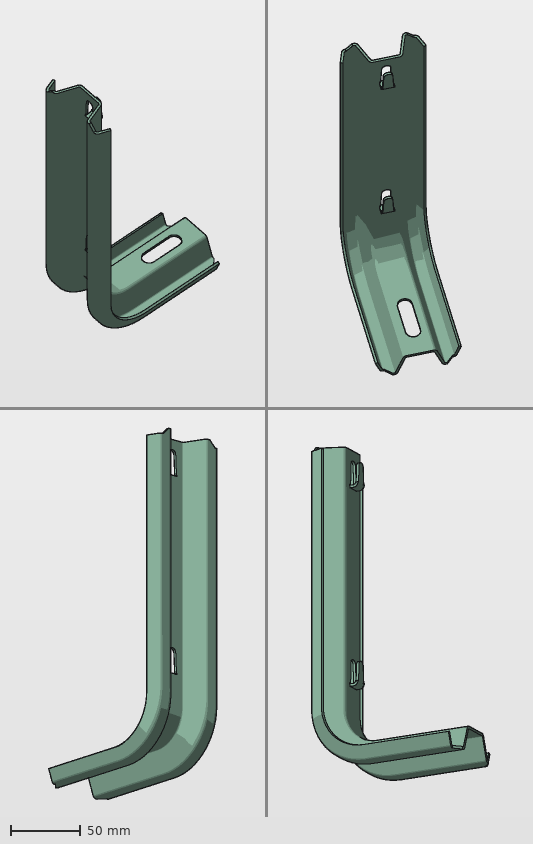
import cadquery as cq
import math

HEIGHT = 245.0
REACH = 120.0
WIDTH = 64.2
DEPTH = 20.0
THICKNESS = 2.0
CORNER_RADIUS = 45.0

WEB_HALF_FLAT = 9.8
FLANGE_FLAT = 6.4
BEND_ANGLE = math.radians(70)
BEND_INNER_RADIUS = 1.2
BEND_MID_RADIUS = BEND_INNER_RADIUS + THICKNESS / 2

TRIM_LENGTH = 5.1
TRIM_HALF_WIDTH = 20.3

SLOT_LENGTH = 35.0
SLOT_WIDTH = 11.0
SLOT_END_GAP = 15.2

HOOK_PITCH = 150.2
WINDOW_TOP_GAP = 7.5
WINDOW_HEIGHT = 19.4
WINDOW_TIP_RADIUS = 3.5
WINDOW_FOOT_WIDTH = 8.3
RELIEF_WIDTH = 9.8
RELIEF_HEIGHT = 0.7
HOOK_GAP = 4.5
HOOK_BEND_INNER_RADIUS = 1.7

HALF_WIDTH = WIDTH / 2
CLEARANCE = 2.5


def normal(heading):
    """Left-hand normal of a direction in the section plane."""
    return cq.Vector(-math.sin(heading), math.cos(heading))


def bends():
    """Centre, side, entry and exit heading of the bends, from the web out to the lip.

    Side is +1 for a bend away from the back of the web and -1 for a bend towards it.
    """
    radius = BEND_MID_RADIUS
    bend_run = radius * math.sin(BEND_ANGLE)
    bend_drop = radius * (1 - math.cos(BEND_ANGLE))
    leg_drop = DEPTH - THICKNESS - 2 * bend_drop
    leg_run = leg_drop / math.tan(BEND_ANGLE)
    flange_start = WEB_HALF_FLAT + 2 * bend_run + leg_run
    web_centre = cq.Vector(WEB_HALF_FLAT, DEPTH - THICKNESS / 2 - radius)
    flange_centre = cq.Vector(flange_start, THICKNESS / 2 + radius)
    lip_centre = flange_centre + cq.Vector(FLANGE_FLAT, 0)
    return [
        (web_centre, 1, 0, -BEND_ANGLE),
        (flange_centre, -1, -BEND_ANGLE, 0),
        (lip_centre, -1, 0, BEND_ANGLE),
    ]


def face_arcs(offset):
    """Start, middle and end of each bend on the sheet face at this offset behind mid-sheet."""
    arcs = []
    for centre, side, entry, leave in bends():
        reach = side * BEND_MID_RADIUS + offset
        headings = (entry, (entry + leave) / 2, leave)
        arcs.append([centre + normal(heading) * reach for heading in headings])
    return arcs


def half_section():
    """Outline of the half sheet at +X, with the front of the flange on Y = 0."""
    front = face_arcs(-THICKNESS / 2)
    back = face_arcs(THICKNESS / 2)
    lip_start = front[-1][-1]
    lip_length = (HALF_WIDTH - lip_start.x) / math.cos(BEND_ANGLE)
    lip_vector = cq.Vector(math.cos(BEND_ANGLE), math.sin(BEND_ANGLE)) * lip_length
    outline = cq.Workplane("XY", origin=(0, 0, HEIGHT)).moveTo(0, DEPTH - THICKNESS)
    for start, middle, end in front:
        outline = outline.lineTo(start.x, start.y).threePointArc((middle.x, middle.y), (end.x, end.y))
    lip_front = lip_start + lip_vector
    lip_back = lip_front + normal(BEND_ANGLE) * THICKNESS
    outline = outline.lineTo(lip_front.x, lip_front.y).lineTo(lip_back.x, lip_back.y)
    for start, middle, end in reversed(back):
        outline = outline.lineTo(end.x, end.y).threePointArc((middle.x, middle.y), (start.x, start.y))
    return outline.lineTo(0, DEPTH).close()


def bent_channel():
    """Sheet channel running down the upright, round the corner and out along the arm."""
    path = (
        cq.Workplane("YZ")
        .moveTo(0, HEIGHT)
        .lineTo(0, CORNER_RADIUS)
        .radiusArc((CORNER_RADIUS, 0), -CORNER_RADIUS)
        .lineTo(REACH, 0)
    )
    half = half_section().sweep(path)
    return half.union(half.mirror("YZ")).clean()


def end_trims(plane, end):
    """Cutters for both outer corners of a free end, drawn in a plane with X across it."""
    inner = TRIM_HALF_WIDTH
    outer = HALF_WIDTH + CLEARANCE
    right = (
        cq.Workplane(plane)
        .polyline([
            (inner, end),
            (inner + TRIM_LENGTH, end - TRIM_LENGTH),
            (outer, end - TRIM_LENGTH),
            (outer, end),
        ])
        .close()
        .extrude(DEPTH + CLEARANCE, both=True)
    )
    return right.union(right.mirror("YZ"))


def arm_slot():
    """Cutter for the long slot through the arm's web."""
    centre_y = REACH - SLOT_END_GAP - SLOT_LENGTH / 2
    return (
        cq.Workplane("XY")
        .center(0, centre_y)
        .slot2D(SLOT_LENGTH, SLOT_WIDTH, 90)
        .extrude(DEPTH + CLEARANCE)
    )


def tongue(foot, y_start, y_end):
    """Tapered round-tipped tongue with a wider foot, standing on height foot."""
    half_foot = WINDOW_FOOT_WIDTH / 2
    half_relief = RELIEF_WIDTH / 2
    tip = foot + WINDOW_HEIGHT
    shoulder = tip - WINDOW_TIP_RADIUS
    return (
        cq.Workplane("XZ", origin=(0, y_start, 0))
        .moveTo(-half_relief, foot)
        .lineTo(half_relief, foot)
        .lineTo(half_relief, foot + RELIEF_HEIGHT)
        .lineTo(half_foot, foot + RELIEF_HEIGHT)
        .lineTo(WINDOW_TIP_RADIUS, shoulder)
        .threePointArc((0, tip), (-WINDOW_TIP_RADIUS, shoulder))
        .lineTo(-half_foot, foot + RELIEF_HEIGHT)
        .lineTo(-half_relief, foot + RELIEF_HEIGHT)
        .close()
        .extrude(y_start - y_end)
    )


def hook(window_foot):
    """L-shaped hook: a shelf out of the web below the window, then a tongue pointing up."""
    shelf_bottom = window_foot - THICKNESS
    inner_face = DEPTH + HOOK_GAP
    outer_face = inner_face + THICKNESS
    inner_radius = HOOK_BEND_INNER_RADIUS
    outer_radius = inner_radius + THICKNESS
    bend_top = window_foot + inner_radius
    root = DEPTH - THICKNESS / 2
    shelf = (
        cq.Workplane("YZ")
        .moveTo(root, shelf_bottom)
        .lineTo(outer_face - outer_radius, shelf_bottom)
        .radiusArc((outer_face, bend_top), -outer_radius)
        .lineTo(inner_face, bend_top)
        .radiusArc((inner_face - inner_radius, window_foot), inner_radius)
        .lineTo(root, window_foot)
        .close()
        .extrude(RELIEF_WIDTH / 2, both=True)
    )
    upright_tongue = tongue(shelf_bottom, inner_face, outer_face)
    below_bend = (
        cq.Workplane("XY", origin=(0, inner_face + THICKNESS / 2, bend_top))
        .rect(2 * RELIEF_WIDTH, 2 * THICKNESS)
        .extrude(-2 * outer_radius)
    )
    return shelf.union(upright_tongue.cut(below_bend))


bracket = bent_channel()
bracket = bracket.cut(end_trims("XZ", HEIGHT))
bracket = bracket.cut(end_trims("XY", REACH))
bracket = bracket.cut(arm_slot())

top_window_foot = HEIGHT - WINDOW_TOP_GAP - WINDOW_HEIGHT
for window_foot in (top_window_foot, top_window_foot - HOOK_PITCH):
    window = tongue(window_foot, DEPTH - THICKNESS - CLEARANCE, DEPTH + CLEARANCE)
    bracket = bracket.cut(window).union(hook(window_foot))

result = bracket